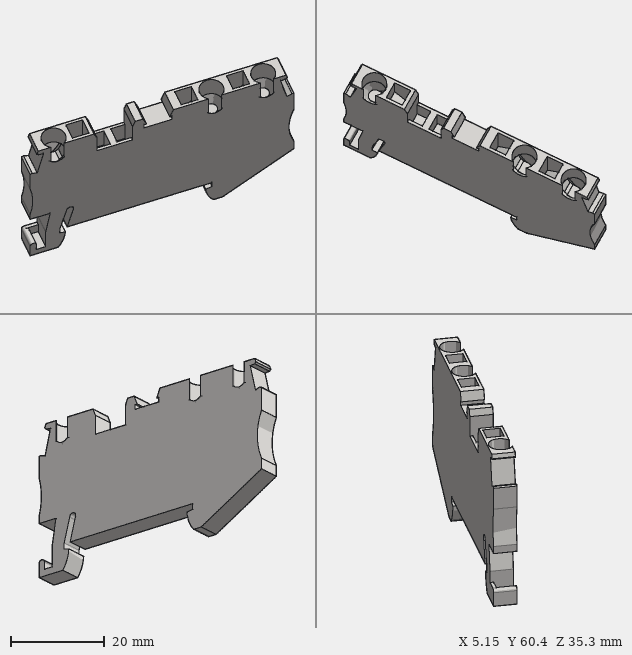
import cadquery as cq
import math

length = 60.4
height = 35.3
thickness = 5.15
end_y = length / 2

lip_top = (28.3, height)
lip_tip = (28.7, 34.35)
lip_bottom = (28.3, 34.0)
recess_top = (27.1, 33.9)
recess_bottom = (28.55, 27.85)
catch_peak = (29.7, 28.25)
catch_end = (end_y, 28.1)

rear_grip_top_z = 22.8
rear_grip_bottom_z = 11.6
rear_grip_depth = 1.15
front_grip_top_z = 23.15
front_grip_bottom_z = 14.25
front_grip_depth = 0.6

marker_floor_z = 32.15
marker_undercut_z = 33.2
marker_rear_y = 2.3
marker_front_y = -4.1
marker_opening = (2.6, -4.4)
marker_overhang = 0.55

bridge_floor_z = 29.25
bridge_rear_y = -6.75
bridge_front_y = -14.85
bridge_rear_chamfer = (0.6, 1.45)
bridge_front_chamfer = (0.7, 1.7)

seat_z = 6.05
hook_rear_z = 9.1
hook_heel_y = 13.85
hook_toe_y = 11.8
hook_bevel_end = (11.3, 0.55)
hook_nose_mid = (10.4, 2.3)
hook_nose_tip = (9.95, 4.45)
hook_root = (11.4, 4.7)
slot_mouth_y = -21.75
slot_rear_top = (-20.3, 11.6)
slot_crown = (-20.95, 12.6)
slot_front_top = (-21.85, 11.85)
slot_front_y = -23.4
slot_front_bottom_z = 6.2
foot_catch_z = 4.85
foot_nose_tip = (-22.1, 4.5)
foot_nose_mid = (-22.65, 2.0)
foot_sole_y = -23.75
foot_shelf_z = 12.55
foot_toe_top_z = 4.0
foot_toe_round = 0.7
foot_face_y = -26.65
foot_bend_z = 6.65
foot_shelf_y = -25.6

toe_web = 0.8
toe_gap_depth = 2.4

pocket_width = 3.8
lever_y = 18.35
entry_y = 24.0
entry_pitch = 11.85
lever_shallow_depth = 4.85
lever_floor_angle = 34.0
bridge_pocket_length = 3.25
bridge_pocket_depth = 4.85

entry_radius = 2.65
entry_x = 0.35
bore_depth = 4.85
throat_radius = 1.4
throat_shift = 0.05
funnel_depth = 2.35
ramp_steep_angle = 65.0
ramp_steep_depth = 1.9
ramp_flat_run = 0.7
ramp_width = 2 * throat_radius


def mirrored(point):
    """The same point on the other end of the housing."""
    return (-point[0], point[1])


def housing():
    """Plate with the full side outline, before the top notches and pockets are cut."""
    corner = [lip_top, lip_tip, lip_bottom, recess_top, recess_bottom, catch_peak, catch_end]
    rear_grip_mid_z = (rear_grip_top_z + rear_grip_bottom_z) / 2
    front_grip_mid_z = (front_grip_top_z + front_grip_bottom_z) / 2

    outline = cq.Workplane("YZ").polyline(corner + [(end_y, rear_grip_top_z)])
    outline = (
        outline.threePointArc((end_y - rear_grip_depth, rear_grip_mid_z), (end_y, rear_grip_bottom_z))
        .lineTo(end_y, hook_rear_z)
        .lineTo(hook_heel_y, 0)
        .lineTo(hook_toe_y, 0)
        .lineTo(*hook_bevel_end)
        .threePointArc(hook_nose_mid, hook_nose_tip)
        .lineTo(*hook_root)
        .lineTo(hook_root[0], seat_z)
    )
    outline = (
        outline.lineTo(slot_mouth_y, seat_z)
        .lineTo(*slot_rear_top)
        .threePointArc(slot_crown, slot_front_top)
        .lineTo(slot_front_y, slot_front_bottom_z)
        .lineTo(slot_front_y, foot_catch_z)
        .lineTo(*foot_nose_tip)
        .threePointArc(foot_nose_mid, (foot_sole_y, 0))
        .lineTo(-end_y, 0)
        .lineTo(-end_y, foot_toe_top_z - foot_toe_round)
        .radiusArc((-end_y + foot_toe_round, foot_toe_top_z), foot_toe_round)
        .lineTo(foot_face_y, foot_toe_top_z)
        .lineTo(foot_face_y, foot_bend_z)
        .lineTo(foot_shelf_y, foot_shelf_z)
    )
    outline = (
        outline.lineTo(-end_y, foot_shelf_z)
        .lineTo(-end_y, front_grip_bottom_z)
        .threePointArc((-end_y + front_grip_depth, front_grip_mid_z), (-end_y, front_grip_top_z))
    )
    for point in reversed(corner):
        outline = outline.lineTo(*mirrored(point))
    return outline.close().extrude(thickness / 2, both=True)


def plate_prism(points):
    """A prism reaching past both sides of the housing, with the given YZ outline."""
    return cq.Workplane("YZ").polyline(points).close().extrude(thickness, both=True)


def marker_notch():
    """Undercut notch for a marker strip."""
    rear_opening, front_opening = marker_opening
    return plate_prism([
        (rear_opening, height),
        (marker_rear_y - marker_overhang, marker_undercut_z),
        (marker_rear_y, marker_undercut_z),
        (marker_rear_y, marker_floor_z),
        (marker_front_y, marker_floor_z),
        (marker_front_y, marker_undercut_z),
        (marker_front_y + marker_overhang, marker_undercut_z),
        (front_opening, height),
    ])


def bridge_notch():
    """Deep notch with chamfered upper edges."""
    return plate_prism([
        (bridge_rear_y + bridge_rear_chamfer[0], height),
        (bridge_rear_y, height - bridge_rear_chamfer[1]),
        (bridge_rear_y, bridge_floor_z),
        (bridge_front_y, bridge_floor_z),
        (bridge_front_y, height - bridge_front_chamfer[1]),
        (bridge_front_y - bridge_front_chamfer[0], height),
    ])


def toe_gap():
    """Gap open at the top and at +X, leaving the toe as a ridge with a half-round crest."""
    round_z = foot_toe_top_z - foot_toe_round
    crest_y = -end_y + foot_toe_round
    ridge_y = crest_y + foot_toe_round
    gap_floor_z = foot_toe_top_z - toe_gap_depth
    return (
        cq.Workplane("YZ", origin=(-thickness / 2 + toe_web, 0, 0))
        .moveTo(foot_face_y, foot_toe_top_z)
        .lineTo(crest_y, foot_toe_top_z)
        .radiusArc((ridge_y, round_z), foot_toe_round)
        .lineTo(ridge_y, gap_floor_z)
        .lineTo(foot_face_y, gap_floor_z)
        .close()
        .extrude(thickness)
    )


def lever_pocket(center_y, outward):
    """Square pocket whose sloped floor is shallowest on the side given by outward (+1 or -1 in Y)."""
    half = pocket_width / 2
    shallow_z = height - lever_shallow_depth
    deep_z = shallow_z - pocket_width * math.tan(math.radians(lever_floor_angle))
    shallow_y = center_y + outward * half
    deep_y = center_y - outward * half
    profile = [(shallow_y, height), (shallow_y, shallow_z), (deep_y, deep_z), (deep_y, height)]
    return cq.Workplane("YZ").polyline(profile).close().extrude(half, both=True)


def bridge_pocket(center_y):
    """Flat-bottomed pocket in the floor of the bridge notch."""
    return (
        cq.Workplane("XY", origin=(0, center_y, bridge_floor_z))
        .rect(pocket_width, bridge_pocket_length)
        .extrude(-bridge_pocket_depth)
    )


def wire_entry(center_y, outward):
    """Round bore and funnel, with a two-slope ramp on the side facing the middle of the housing."""
    funnel_z = height - bore_depth
    floor_z = funnel_z - funnel_depth
    bore = cq.Workplane("XY", origin=(entry_x, center_y, funnel_z)).circle(entry_radius).extrude(bore_depth)
    funnel = (
        cq.Workplane("XY", origin=(entry_x, center_y, funnel_z))
        .circle(entry_radius)
        .workplane(offset=-funnel_depth)
        .center(-entry_x, outward * throat_shift)
        .circle(throat_radius)
        .loft(ruled=True)
    )
    steep_run = ramp_steep_depth / math.tan(math.radians(ramp_steep_angle))
    top_y = center_y - outward * entry_radius
    knee_y = top_y + outward * steep_run
    slopes = [
        (top_y, funnel_z),
        (knee_y, funnel_z - ramp_steep_depth),
        (knee_y + outward * ramp_flat_run, floor_z),
    ]
    backing = plate_prism(slopes + [(top_y, floor_z)])
    ramp = (
        cq.Workplane("YZ")
        .polyline(slopes + [(center_y, floor_z), (center_y, funnel_z)])
        .close()
        .extrude(ramp_width / 2, both=True)
    )
    return bore.union(funnel.cut(backing)).union(ramp)


result = housing().cut(marker_notch()).cut(bridge_notch()).cut(toe_gap())

for offset, outward in [(0, 1), (entry_pitch, 1), (0, -1)]:
    result = result.cut(wire_entry(outward * (entry_y - offset), outward))
    result = result.cut(lever_pocket(outward * (lever_y - offset), outward))

for center_y in (bridge_rear_y - bridge_pocket_length / 2, bridge_front_y + bridge_pocket_length / 2):
    result = result.cut(bridge_pocket(center_y))